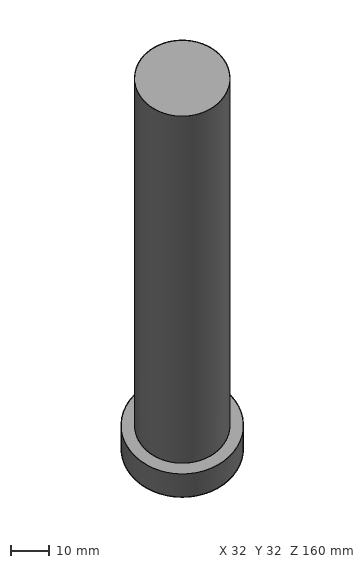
import cadquery as cq

total_length = 160.0
head_diameter = 32.0
head_height = 10.0
shaft_diameter = 25.0

bottom = -total_length / 2
shaft_length = total_length - head_height

head = cq.Workplane("XY").workplane(offset=bottom).circle(head_diameter / 2).extrude(head_height)

result = head.faces(">Z").workplane().circle(shaft_diameter / 2).extrude(shaft_length)